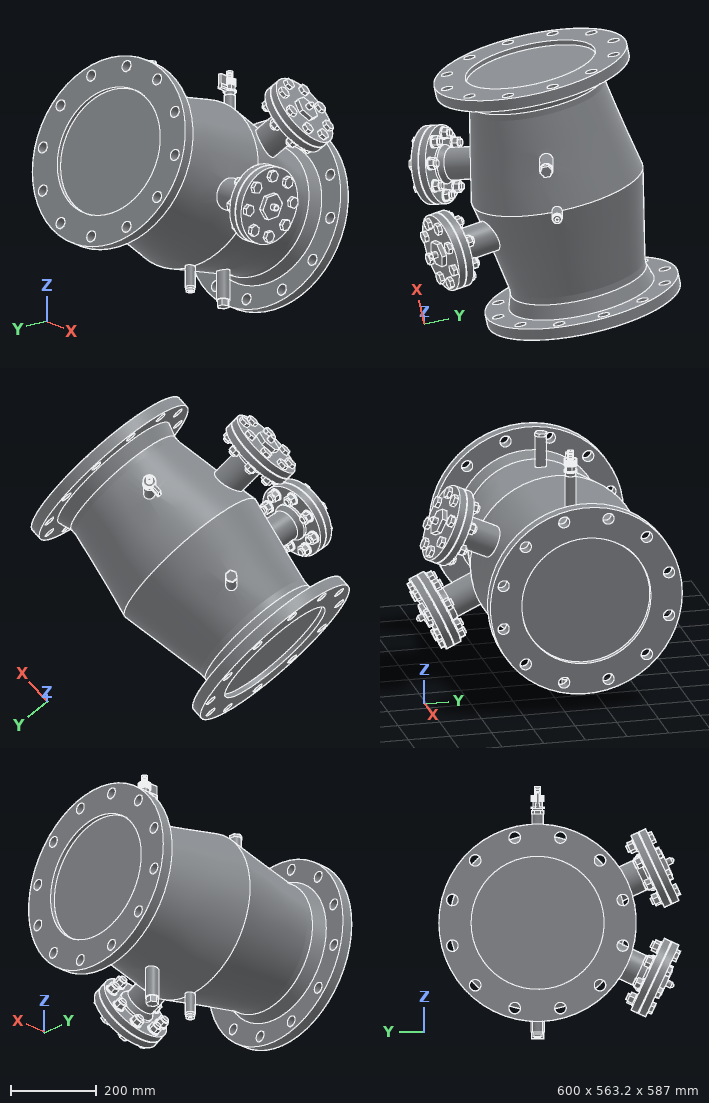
import cadquery as cq
import math

length = 600.0
flange_diameter = 460.0
flange_thickness = 28.0
flange_bolt_circle = 410.5
flange_hole_diameter = 26.5
flange_hole_count = 12
bore_diameter = 309.5
bore_depth = 12.0
neck_root_diameter = 346.0
neck_length = 33.5
pipe_diameter = 324.0
pipe_length = 16.0
belly_diameter = 409.0

branch_offset = 65.0
branch_tilt = 25.0
branch_reach = 320.5
branch_pipe_diameter = 76.0
branch_flange_diameter = 185.0
branch_flange_thickness = 18.0
gasket_diameter = 127.0
gasket_thickness = 2.0
hub_diameter = 92.0
hub_cylinder_length = 6.0
hub_cone_length = 14.5
branch_bolt_circle = 145.0
branch_bolt_count = 8
bolt_diameter = 16.0
bolt_tail = 21.5
bolt_hex_flats = 24.0
bolt_head_height = 9.5
nut_height = 13.0
washer_diameter = 30.0
washer_thickness = 3.0
plug_flats = 55.0
plug_height = 11.5
plug_pin_diameter = 15.0
plug_pin_height = 12.0
plug_tip_diameter = 11.5

stub_end = 254.0
stub_hex_flats = 25.0
vent_x = -145.0
vent_diameter = 26.5
vent_cap_height = 7.0

drain_diameter = 24.0
drain_step_diameters = (22.0, 20.5, 9.0)
drain_step_heights = (5.5, 5.5, 2.5)

plugged_x = 120.5
plugged_diameter = 32.0
plugged_hex_height = 16.0

valve_x = 145.0
valve_stub_end = 257.0
valve_stub_diameter = 26.5
valve_collar_diameter = 24.0
valve_collar_height = 9.5
valve_plate_diameter = 31.0
valve_plate_thickness = 3.0
valve_post_flats = 22.0
valve_post_height = 12.5
valve_body_diameter = 30.0
valve_body_height = 14.5
knurl_count = 24
knurl_width = 2.0
knurl_depth = 1.0
valve_spout_diameter = 14.5
valve_spout_top = 317.0
valve_spout_bore = 9.0
valve_spout_bore_depth = 12.0
spout_groove_diameter = 12.0
spout_groove_width = 2.0
spout_groove_pitch = 6.0
spout_groove_count = 3
lever_reach = 36.5
lever_width = 10.0
lever_thickness = 5.0
grip_length = 22.0
grip_width = 7.0
grip_height = 35.5
grip_root_width = 9.0
grip_root_height = 11.5


def disc(diameter, bottom, height):
    return cq.Workplane("XY").workplane(offset=bottom).circle(diameter / 2).extrude(height)


def hexagon(flats, bottom, height):
    corners = flats / math.cos(math.pi / 6)
    return cq.Workplane("XY").workplane(offset=bottom).polygon(6, corners).extrude(height)


def make_body():
    flange_back = length / 2 - flange_thickness
    neck_end = flange_back - neck_length
    cone_start = neck_end - pipe_length
    half_outline = [
        (length / 2, flange_diameter / 2),
        (flange_back, flange_diameter / 2),
        (flange_back, neck_root_diameter / 2),
        (neck_end, pipe_diameter / 2),
        (cone_start, pipe_diameter / 2),
    ]
    other_half = [(-x, r) for x, r in reversed(half_outline)]
    outline = [(length / 2, 0)] + half_outline + [(0, belly_diameter / 2)] + other_half + [(-length / 2, 0)]
    body = cq.Workplane("XY").polyline(outline).close().revolve(360, (0, 0, 0), (1, 0, 0))

    first_hole = 180 / flange_hole_count
    holes = (
        cq.Workplane("YZ")
        .workplane(offset=-length / 2)
        .polarArray(flange_bolt_circle / 2, first_hole, 360, flange_hole_count)
        .circle(flange_hole_diameter / 2)
        .extrude(flange_thickness)
    )
    recess = cq.Workplane("YZ").workplane(offset=-length / 2).circle(bore_diameter / 2).extrude(bore_depth)
    end_cuts = holes.union(recess)
    return body.cut(end_cuts).cut(end_cuts.mirror("YZ"))


def make_branch_bolt(cover_face, flange_back):
    head = hexagon(bolt_hex_flats, cover_face, bolt_head_height)
    shank = disc(bolt_diameter, flange_back - bolt_tail, cover_face - flange_back + bolt_tail)
    washer_back = flange_back - washer_thickness
    washer = disc(washer_diameter, washer_back, washer_thickness)
    nut = hexagon(bolt_hex_flats, washer_back - nut_height, nut_height)
    bolt = head.union(shank).union(washer).union(nut)
    angle = math.pi / branch_bolt_count
    radius = branch_bolt_circle / 2
    return bolt.translate((radius * math.cos(angle), radius * math.sin(angle), 0))


def make_branch():
    """Branch built along Z from the body axis, with its blind cover, bolts and plug."""
    cover_back = branch_reach - branch_flange_thickness
    flange_front = cover_back - gasket_thickness
    flange_back = flange_front - branch_flange_thickness
    hub_back = flange_back - hub_cylinder_length

    branch = disc(branch_pipe_diameter, 0, flange_back)
    hub = (
        cq.Workplane("XY")
        .workplane(offset=hub_back - hub_cone_length)
        .circle(branch_pipe_diameter / 2)
        .workplane(offset=hub_cone_length)
        .circle(hub_diameter / 2)
        .loft()
        .union(disc(hub_diameter, hub_back, hub_cylinder_length))
    )
    branch = branch.union(hub)
    branch = branch.union(disc(branch_flange_diameter, flange_back, branch_flange_thickness))
    branch = branch.union(disc(gasket_diameter, flange_front, gasket_thickness))
    branch = branch.union(disc(branch_flange_diameter, cover_back, branch_flange_thickness))

    bolt = make_branch_bolt(branch_reach, flange_back)
    for i in range(branch_bolt_count):
        branch = branch.union(bolt.rotate((0, 0, 0), (0, 0, 1), i * 360 / branch_bolt_count))

    plug = hexagon(plug_flats, branch_reach, plug_height).rotate((0, 0, 0), (0, 0, 1), 30)
    pin_base = branch_reach + plug_height
    pin = disc(plug_pin_diameter, pin_base, plug_pin_height)
    tip = cq.Workplane("XY").sphere(plug_tip_diameter / 2).translate((0, 0, pin_base + plug_pin_height))
    return branch.union(plug).union(pin).union(tip)


def make_hex_stub(diameter, hex_height):
    """Round stub closed by a hexagonal head with one corner toward -Y."""
    head = hexagon(stub_hex_flats, stub_end, hex_height).rotate((0, 0, 0), (0, 0, 1), 30)
    return disc(diameter, 0, stub_end).union(head)


def make_drain():
    """Drain stub with stepped end, built upward and later turned to point down."""
    drain = disc(drain_diameter, 0, stub_end)
    level = stub_end
    for diameter, height in zip(drain_step_diameters, drain_step_heights):
        drain = drain.union(disc(diameter, level, height))
        level += height
    return drain


def make_valve():
    plate_bottom = valve_stub_end + valve_collar_height
    post_bottom = plate_bottom + valve_plate_thickness
    body_bottom = post_bottom + valve_post_height
    spout_bottom = body_bottom + valve_body_height
    valve = disc(valve_stub_diameter, 0, valve_stub_end)
    valve = valve.union(disc(valve_collar_diameter, valve_stub_end, valve_collar_height))
    valve = valve.union(disc(valve_plate_diameter, plate_bottom, valve_plate_thickness))
    valve = valve.union(hexagon(valve_post_flats, post_bottom, valve_post_height))

    grip_ring = disc(valve_body_diameter, body_bottom, valve_body_height)
    knurls = (
        cq.Workplane("XY")
        .workplane(offset=body_bottom)
        .polarArray(valve_body_diameter / 2, 0, 360, knurl_count)
        .rect(2 * knurl_depth, knurl_width)
        .extrude(valve_body_height)
    )
    valve = valve.union(grip_ring.cut(knurls))

    spout = disc(valve_spout_diameter, spout_bottom, valve_spout_top - spout_bottom)
    for i in range(spout_groove_count):
        groove_bottom = spout_bottom + spout_groove_width + i * spout_groove_pitch
        groove = disc(valve_spout_diameter, groove_bottom, spout_groove_width)
        spout = spout.cut(groove.cut(disc(spout_groove_diameter, groove_bottom, spout_groove_width)))
    spout_bore = disc(valve_spout_bore, valve_spout_top - valve_spout_bore_depth, valve_spout_bore_depth)
    spout = spout.cut(spout_bore)

    arm = cq.Workplane("XY").box(lever_reach, lever_width, lever_thickness, centered=(False, True, False))
    grip = cq.Workplane("XY").box(grip_length, grip_width, grip_height, centered=(False, True, False))
    grip_root = cq.Workplane("XY").box(
        grip_length, grip_root_width, grip_root_height, centered=(False, True, False)
    )
    lever = arm.union(grip_root).union(grip).translate((-lever_reach, 0, plate_bottom))
    return valve.union(spout).union(lever)


result = make_body()

branch_up = make_branch().rotate((0, 0, 0), (1, 0, 0), 90 - branch_tilt).translate((branch_offset, 0, 0))
branch_down = branch_up.rotate((0, 0, 0), (0, 1, 0), 180)
result = result.union(branch_up).union(branch_down)

result = result.union(make_hex_stub(vent_diameter, vent_cap_height).translate((vent_x, 0, 0)))
result = result.union(make_valve().translate((valve_x, 0, 0)))
result = result.union(make_drain().mirror("XY"))
plugged_stub = make_hex_stub(plugged_diameter, plugged_hex_height).mirror("XY")
result = result.union(plugged_stub.translate((plugged_x, 0, 0)))